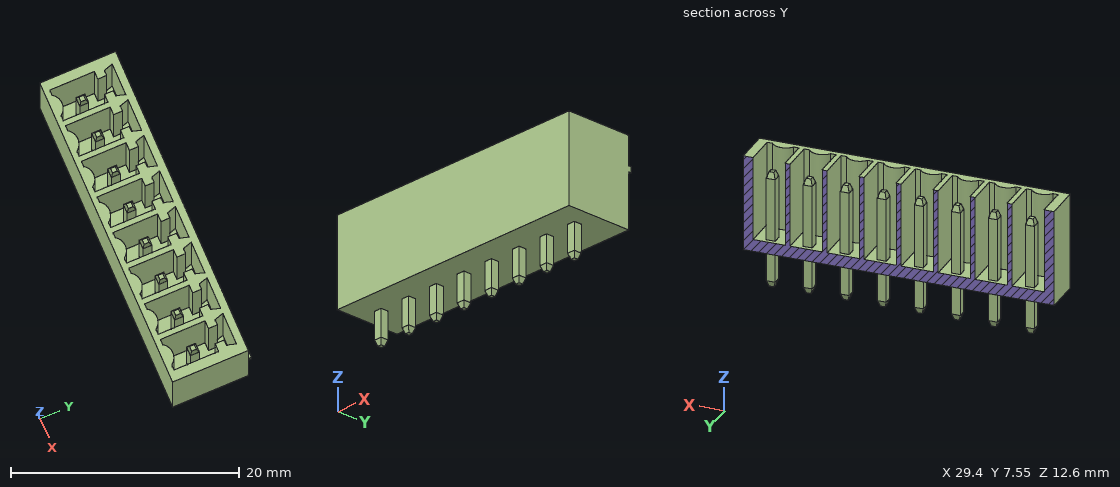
import cadquery as cq

POLES = 8
PITCH = 3.5

BODY_LENGTH = 29.4
BODY_DEPTH = 7.25
BODY_HEIGHT = 9.2

RIB_PROJECTION = 0.3
RIB_HEIGHT = 0.6
RIB_TOP_BELOW_RIM = 2.95

CAVITY_WIDTH = 3.0
CAVITY_FRONT_Y = 0.55
SHOULDER_Y = 4.8
DOVETAIL_FRONT_Y = 5.65
CAVITY_REAR_Y = 6.5
NECK_WIDTH = 1.5
DOVETAIL_FRONT_WIDTH = 2.5
CAVITY_FLOOR_Z = 1.2
KEY_CHORD = 2.0
KEY_RISE = 0.52

PIN_WIDTH = 0.85
PIN_TIP_WIDTH = 0.45
PIN_TAPER = 0.6
PIN_Y = 3.0
PIN_BELOW_BODY = 3.4
PIN_TOP_Z = 7.8

pole_xs = [(i - (POLES - 1) / 2) * PITCH for i in range(POLES)]


def make_housing():
    body = cq.Workplane("XY").box(BODY_LENGTH, BODY_DEPTH, BODY_HEIGHT, centered=(True, False, False))
    rib_bottom_z = BODY_HEIGHT - RIB_TOP_BELOW_RIM - RIB_HEIGHT
    rib_depth = BODY_DEPTH - CAVITY_REAR_Y + RIB_PROJECTION
    rib = (
        cq.Workplane("XY", origin=(0, CAVITY_REAR_Y, rib_bottom_z))
        .box(BODY_LENGTH, rib_depth, RIB_HEIGHT, centered=(True, False, False))
    )
    return body.union(rib)


def make_cavity(x):
    """Cavity with a round key on its front wall, a narrow neck and a dovetail slot behind it."""
    half_cavity = CAVITY_WIDTH / 2
    half_neck = NECK_WIDTH / 2
    half_dovetail = DOVETAIL_FRONT_WIDTH / 2
    half_key = KEY_CHORD / 2
    return (
        cq.Workplane("XY", origin=(x, 0, CAVITY_FLOOR_Z))
        .moveTo(-half_cavity, CAVITY_FRONT_Y)
        .lineTo(-half_key, CAVITY_FRONT_Y)
        .threePointArc((0, CAVITY_FRONT_Y + KEY_RISE), (half_key, CAVITY_FRONT_Y))
        .lineTo(half_cavity, CAVITY_FRONT_Y)
        .lineTo(half_cavity, SHOULDER_Y)
        .lineTo(half_neck, SHOULDER_Y)
        .lineTo(half_neck, DOVETAIL_FRONT_Y)
        .lineTo(half_dovetail, DOVETAIL_FRONT_Y)
        .lineTo(half_cavity, CAVITY_REAR_Y)
        .lineTo(-half_cavity, CAVITY_REAR_Y)
        .lineTo(-half_dovetail, DOVETAIL_FRONT_Y)
        .lineTo(-half_neck, DOVETAIL_FRONT_Y)
        .lineTo(-half_neck, SHOULDER_Y)
        .lineTo(-half_cavity, SHOULDER_Y)
        .close()
        .extrude(BODY_HEIGHT - CAVITY_FLOOR_Z)
    )


def make_tip(x, base_z, direction):
    """Pyramidal pin end that narrows from base_z upward (direction 1) or downward (direction -1)."""
    return (
        cq.Workplane("XY", origin=(x, PIN_Y, base_z))
        .rect(PIN_WIDTH, PIN_WIDTH)
        .workplane(offset=direction * PIN_TAPER)
        .rect(PIN_TIP_WIDTH, PIN_TIP_WIDTH)
        .loft(ruled=True)
    )


def make_pin(x):
    shank_bottom_z = PIN_TAPER - PIN_BELOW_BODY
    shank_top_z = PIN_TOP_Z - PIN_TAPER
    shank = (
        cq.Workplane("XY", origin=(x, PIN_Y, shank_bottom_z))
        .rect(PIN_WIDTH, PIN_WIDTH)
        .extrude(shank_top_z - shank_bottom_z)
    )
    return shank.union(make_tip(x, shank_top_z, 1)).union(make_tip(x, shank_bottom_z, -1))


result = make_housing()
for pole_x in pole_xs:
    result = result.cut(make_cavity(pole_x))
for pole_x in pole_xs:
    result = result.union(make_pin(pole_x))